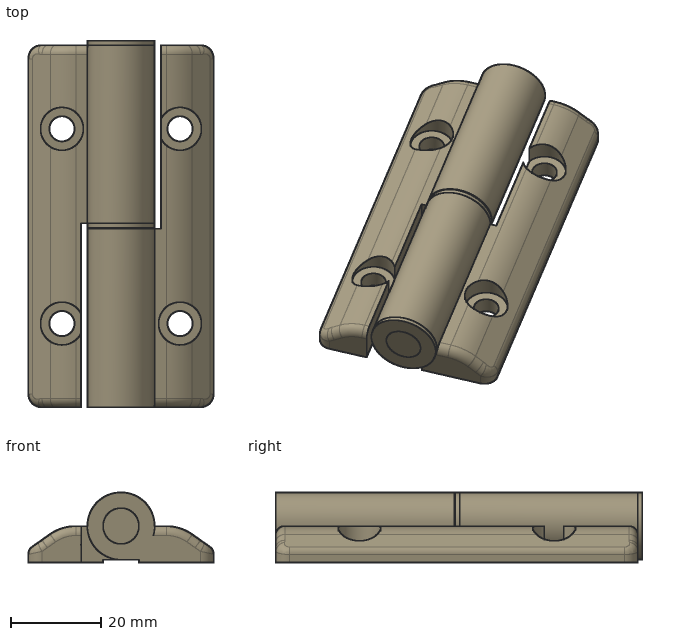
import cadquery as cq
import math

HINGE_LENGTH = 81.1
FRONT_Y = -HINGE_LENGTH / 2
BACK_Y = HINGE_LENGTH / 2
KNUCKLE_RADIUS = 7.5
AXIS_Z = 8.1
PIN_RADIUS = 4.0

BUSHING_THICKNESS = 1.0
REAR_KNUCKLE_LENGTH = 39.4
SHIM_THICKNESS = 0.2
LEAF_BACK_Y = BACK_Y - BUSHING_THICKNESS
REAR_KNUCKLE_FRONT_Y = LEAF_BACK_Y - REAR_KNUCKLE_LENGTH
SHIM_BACK_Y = REAR_KNUCKLE_FRONT_Y - BUSHING_THICKNESS
FRONT_KNUCKLE_BACK_Y = SHIM_BACK_Y - SHIM_THICKNESS
LEAF_LENGTH = LEAF_BACK_Y - FRONT_Y
LEAF_MIDDLE_Y = (LEAF_BACK_Y + FRONT_Y) / 2

HALF_WIDTH = 20.5
LEAF_TOP_Z = AXIS_Z
SHOULDER_X = 10.0
SHOULDER_RADIUS = 10.0
SLOPE_ANGLE = math.radians(35)
FOOT_INNER_X = PIN_RADIUS
SLOT_OUTER_X = 8.8
CORNER_RADIUS = 3.0
EDGE_RADIUS = 2.0

HOLE_X = 13.05
HOLE_SPACING = 43.1
HOLE_DIAMETER = 5.5
COUNTERBORE_DIAMETER = 9.5
COUNTERBORE_FLOOR_Z = 4.0


def cylinder_along_pin(radius, y_start, y_end):
    """Cylinder on the hinge axis between two Y positions."""
    axis_plane = cq.Workplane("XZ", origin=(0, y_start, AXIS_Z))
    return axis_plane.circle(radius).extrude(y_start - y_end)


def leaf_plate():
    """Right-hand plate with rounded outer edges, reaching in to the hinge axis."""
    def shoulder_point(angle):
        x = SHOULDER_X + SHOULDER_RADIUS * math.sin(angle)
        z = LEAF_TOP_Z - SHOULDER_RADIUS * (1 - math.cos(angle))
        return x, z

    slope_x, slope_z = shoulder_point(SLOPE_ANGLE)
    outer_z = slope_z - (HALF_WIDTH - slope_x) * math.tan(SLOPE_ANGLE)
    underside_z = AXIS_Z - KNUCKLE_RADIUS
    plate = (
        cq.Workplane("XZ", origin=(0, LEAF_BACK_Y, 0))
        .moveTo(0, underside_z)
        .lineTo(0, LEAF_TOP_Z)
        .lineTo(SHOULDER_X, LEAF_TOP_Z)
        .threePointArc(shoulder_point(SLOPE_ANGLE / 2), (slope_x, slope_z))
        .lineTo(HALF_WIDTH, outer_z)
        .lineTo(HALF_WIDTH, 0)
        .lineTo(FOOT_INNER_X, 0)
        .lineTo(FOOT_INNER_X, underside_z)
        .close()
        .extrude(LEAF_LENGTH)
    )
    plate = plate.edges("|Z and >X").fillet(CORNER_RADIUS)
    rim_edge = cq.selectors.NearestToPointSelector((HALF_WIDTH, LEAF_MIDDLE_Y, outer_z))
    return plate.edges(rim_edge).fillet(EDGE_RADIUS)


def cut_screw_holes(leaf):
    """Two counterbored holes, symmetric about the middle of the leaf."""
    for side in (-1, 1):
        center = (HOLE_X, LEAF_MIDDLE_Y + side * HOLE_SPACING / 2)
        hole = cq.Workplane("XY").center(*center).circle(HOLE_DIAMETER / 2).extrude(LEAF_TOP_Z)
        counterbore = (
            cq.Workplane("XY", origin=(0, 0, COUNTERBORE_FLOOR_Z))
            .center(*center)
            .circle(COUNTERBORE_DIAMETER / 2)
            .extrude(LEAF_TOP_Z - COUNTERBORE_FLOOR_Z)
        )
        leaf = leaf.cut(hole).cut(counterbore)
    return leaf


def make_leaf(knuckle_start_y, knuckle_end_y, slot_start_y, slot_end_y):
    """Right-hand leaf with its own knuckle and a slot for the other one."""
    slot = cq.Workplane("XY").box(
        SLOT_OUTER_X, slot_end_y - slot_start_y, LEAF_TOP_Z, centered=False
    ).translate((0, slot_start_y, 0))
    leaf = cut_screw_holes(leaf_plate().cut(slot))
    leaf = leaf.union(cylinder_along_pin(KNUCKLE_RADIUS, knuckle_start_y, knuckle_end_y))
    return leaf.cut(cylinder_along_pin(PIN_RADIUS, FRONT_Y, BACK_Y))


def make_ring(y_start, thickness):
    """Flat ring around the pin, flush with the knuckles."""
    y_end = y_start + thickness
    disc = cylinder_along_pin(KNUCKLE_RADIUS, y_start, y_end)
    return disc.cut(cylinder_along_pin(PIN_RADIUS, y_start, y_end))


front_leaf = make_leaf(FRONT_Y, FRONT_KNUCKLE_BACK_Y, FRONT_KNUCKLE_BACK_Y, LEAF_BACK_Y)
rear_leaf = make_leaf(
    REAR_KNUCKLE_FRONT_Y, LEAF_BACK_Y, FRONT_Y, REAR_KNUCKLE_FRONT_Y
).mirror("YZ")

pin = cylinder_along_pin(PIN_RADIUS, FRONT_Y, BACK_Y)

bushings = [make_ring(y, BUSHING_THICKNESS) for y in (SHIM_BACK_Y, LEAF_BACK_Y)]

shim = make_ring(FRONT_KNUCKLE_BACK_Y, SHIM_THICKNESS)

result = cq.Compound.makeCompound([
    front_leaf.val(),
    rear_leaf.val(),
    pin.val(),
    *[bushing.val() for bushing in bushings],
    shim.val(),
])